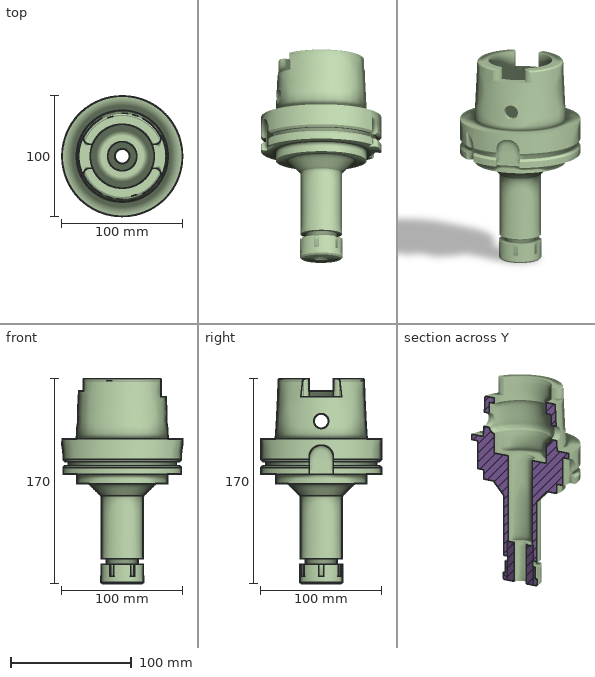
import cadquery as cq
import math


overall_length = 170.0
flange_radius = 50.0
taper_length = 50.0
taper_base_radius = 38.0
taper_slope = 0.05
taper_top_radius = taper_base_radius - taper_slope * taper_length
taper_rim_fillet = 1.7
flange_thickness = 29.0
gripper_groove_radius = 45.9
gripper_groove_top = -17.0
gripper_groove_mouth = 6.8
gripper_groove_chamfer = 1.7
gripper_land_radius = flange_radius - gripper_groove_chamfer
collar_radius = 37.5
collar_height = 8.0
neck_cone_height = 10.2
shank_radius = 17.3
neck_cone_radius = shank_radius + neck_cone_height
shank_bottom = -99.3

bore_radius = 26.5
bore_depth = 62.4
clamp_groove_radius = 31.5
clamp_groove_start = 20.0
clamp_groove_straight = 20.7
coolant_bore_radius = 12.0
side_hole_radius = 6.0
side_hole_z = 14.8

drive_slot_width = 20.0
drive_slot_depth_left = 10.0
drive_slot_depth_right = 15.0
drive_slot_corner_radius = 5.0
drive_slot_shoulder = 32.1

notch_radius = 10.0
notch_top = -5.1
key_notch_floor = 44.0
index_notch_floor = 31.6
index_notch_side = 31.5

nut_bottom = taper_length - overall_length
nut_height = 16.3
nut_radius = 17.7
nut_chamfer = 1.4
spanner_slot_count = 6
spanner_slot_width = 3.9
spanner_slot_length = 10.0
spanner_slot_depth = 2.0

collet_radius = 13.1
collet_bore_radius = 6.0
collet_length = 34.0
collet_top = nut_bottom + collet_length


def cylinder(radius, bottom, top):
    return cq.Workplane("XY").workplane(offset=bottom).circle(radius).extrude(top - bottom)


def revolve_profile(points):
    """Revolve a closed (radius, z) outline about the Z axis."""
    return cq.Workplane("XZ").polyline(points).close().revolve(360, (0, 0, 0), (0, 1, 0))


def holder_blank():
    groove_bottom = gripper_groove_top - gripper_groove_mouth
    flange_bottom = -flange_thickness
    collar_bottom = flange_bottom - collar_height
    cone_bottom = collar_bottom - neck_cone_height
    blank = revolve_profile([
        (0, taper_length),
        (taper_top_radius, taper_length),
        (taper_base_radius, 0),
        (flange_radius, 0),
        (flange_radius, gripper_groove_top),
        (gripper_land_radius, gripper_groove_top - gripper_groove_chamfer),
        (gripper_groove_radius, gripper_groove_top - gripper_groove_chamfer),
        (gripper_groove_radius, groove_bottom + gripper_groove_chamfer),
        (gripper_land_radius, groove_bottom + gripper_groove_chamfer),
        (flange_radius, groove_bottom),
        (flange_radius, flange_bottom),
        (collar_radius, flange_bottom),
        (collar_radius, collar_bottom),
        (neck_cone_radius, collar_bottom),
        (shank_radius, cone_bottom),
        (shank_radius, shank_bottom),
        (0, shank_bottom),
    ])
    return blank.faces(">Z").edges().fillet(taper_rim_fillet)


def holder_bore():
    """Bore from the taper mouth down to the collet, with the clamping groove undercut into its wall."""
    floor = taper_length - bore_depth
    groove_top = taper_length - clamp_groove_start
    round_top = groove_top - clamp_groove_straight
    round_radius = clamp_groove_radius - bore_radius
    diagonal = round_radius * math.sqrt(0.5)
    outline = (
        cq.Workplane("XZ")
        .moveTo(0, taper_length)
        .lineTo(bore_radius, taper_length)
        .lineTo(bore_radius, groove_top)
        .lineTo(clamp_groove_radius, groove_top)
        .lineTo(clamp_groove_radius, round_top)
        .threePointArc((bore_radius + diagonal, round_top - diagonal), (bore_radius, round_top - round_radius))
        .lineTo(bore_radius, floor)
        .lineTo(coolant_bore_radius, floor)
        .lineTo(coolant_bore_radius, collet_top)
        .lineTo(0, collet_top)
        .close()
    )
    return outline.revolve(360, (0, 0, 0), (0, 1, 0))


def drive_slot(side, depth):
    """Slot through one side of the taper rim (side = -1 or +1 along X), opening out on rounded corners."""
    half = drive_slot_width / 2
    corner = drive_slot_corner_radius
    corner_x = drive_slot_shoulder - corner
    reach = flange_radius
    diagonal = corner * math.sqrt(0.5)
    outline = (
        cq.Workplane("XY").workplane(offset=taper_length - depth)
        .moveTo(0, -half)
        .lineTo(side * corner_x, -half)
        .threePointArc(
            (side * (corner_x + diagonal), -half - corner + diagonal),
            (side * drive_slot_shoulder, -half - corner),
        )
        .lineTo(side * drive_slot_shoulder, -reach)
        .lineTo(side * reach, -reach)
        .lineTo(side * reach, reach)
        .lineTo(side * drive_slot_shoulder, reach)
        .lineTo(side * drive_slot_shoulder, half + corner)
        .threePointArc(
            (side * (corner_x + diagonal), half + corner - diagonal),
            (side * corner_x, half),
        )
        .lineTo(0, half)
        .close()
    )
    return outline.extrude(depth)


def flange_notch(side, floor, center_y):
    """Notch with a round upper end, cut along X from the rim to a flat floor and open at the bottom."""
    center_z = notch_top - notch_radius
    depth = flange_radius - floor
    notch = (
        cq.Workplane("YZ").workplane(offset=side * floor)
        .moveTo(center_y - notch_radius, -flange_thickness)
        .lineTo(center_y - notch_radius, center_z)
        .threePointArc((center_y, notch_top), (center_y + notch_radius, center_z))
        .lineTo(center_y + notch_radius, -flange_thickness)
        .close()
        .extrude(side * depth)
    )
    return notch


def make_holder():
    holder = holder_blank().cut(holder_bore())
    holder = holder.cut(cylinder(collet_radius, shank_bottom, collet_top))
    holder = holder.cut(drive_slot(-1, drive_slot_depth_left))
    holder = holder.cut(drive_slot(1, drive_slot_depth_right))
    side_hole = (
        cq.Workplane("YZ").center(0, side_hole_z)
        .circle(side_hole_radius).extrude(flange_radius, both=True)
    )
    holder = holder.cut(side_hole)
    for side in (-1, 1):
        holder = holder.cut(flange_notch(side, key_notch_floor, 0))
    return holder.cut(flange_notch(-1, index_notch_floor, index_notch_side + notch_radius))


def make_nut():
    """Ring around the collet with spanner slots open at its upper face."""
    nut_top = nut_bottom + nut_height
    nut = cylinder(nut_radius, nut_bottom, nut_top)
    nut = nut.faces("<Z").edges().chamfer(nut_chamfer)
    nut = nut.cut(cylinder(collet_radius, nut_bottom, nut_top))
    slot_floor = nut_radius - spanner_slot_depth
    slot = (
        cq.Workplane("XY")
        .box(2 * spanner_slot_depth, spanner_slot_width, spanner_slot_length, centered=(False, True, False))
        .translate((slot_floor, 0, nut_top - spanner_slot_length))
    )
    for i in range(spanner_slot_count):
        nut = nut.cut(slot.rotate((0, 0, 0), (0, 0, 1), i * 360 / spanner_slot_count))
    return nut


def make_collet():
    """Straight sleeve running from the nut up into the shank."""
    return cylinder(collet_radius, nut_bottom, collet_top).cut(
        cylinder(collet_bore_radius, nut_bottom, collet_top)
    )


holder = make_holder()
nut = make_nut()
collet = make_collet()

result = cq.Compound.makeCompound([holder.val(), nut.val(), collet.val()])